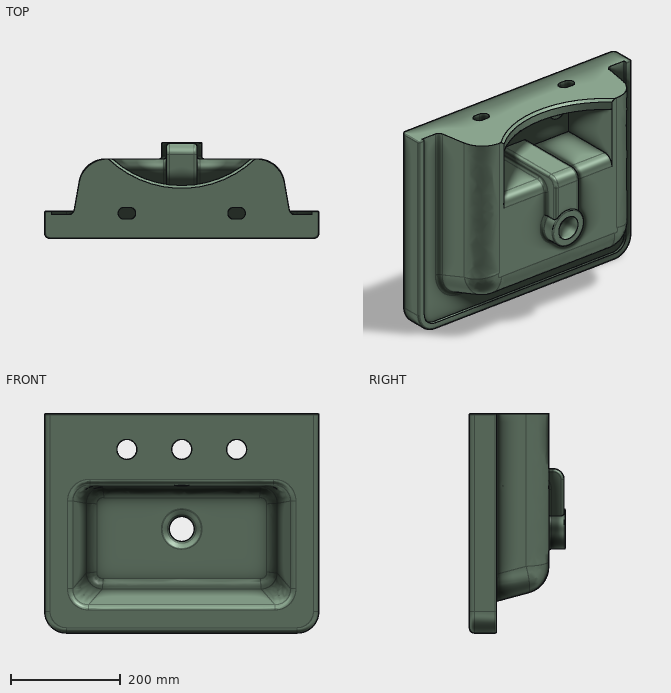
import cadquery as cq
import math


WIDTH = 500
HEIGHT = 400
SLAB_DEPTH = 50
SLAB_CORNER_R = 40
FRONT_EDGE_R = 10
BACK_EDGE_R = 3
TOP_EDGE_R = 2

RIM_WIDTH = 13
RECESS_DEPTH = 6
RECESS_FLOOR_Y = SLAB_DEPTH - RECESS_DEPTH
RECESS_CORNER_R = SLAB_CORNER_R - RIM_WIDTH

BOWL_BACK_Y = 145
BOWL_HALF_WIDTH = 197.5
BOWL_BOTTOM_Z = -343.5
BOWL_SIDE_DRAFT = 10
BOWL_BOTTOM_DRAFT = 15
BOWL_R = 50
BOWL_ROOT_R = 10

BASIN_DEPTH = 121
BASIN_HALF_WIDTH = 200.3
BASIN_TOP_Z = -129
BASIN_BOTTOM_Z = -350
BASIN_SIDE_DRAFT = 14
BASIN_TOP_DRAFT = 2.5
BASIN_BOTTOM_DRAFT = 16
BASIN_CORNER_R = 30
BASIN_FLOOR_R = 20
BASIN_LIP_R = 10

DECK_THICKNESS = 20
PLATE_THICKNESS = 20
ARCH_R = 189
ARCH_FRONT_Y = 96.5
ARCH_CENTER_Y = ARCH_FRONT_Y + ARCH_R
ARCH_CHAMFER = 5
HOLLOW_HALF_WIDTH = math.sqrt(ARCH_R**2 - (ARCH_CENTER_Y - BOWL_BACK_Y)**2)
SHOULDER_Z = -118
SHOULDER_R = 20

DRAIN_Z = -210
BOSS_R = 36.6
BOSS_BACK_Y = 175
BOSS_EDGE_R = 2
CHANNEL_HALF_WIDTH = 28
CHANNEL_TOP_Z = -100
CHANNEL_BACK_Y = 173
CHANNEL_TOP_R = 20
CHANNEL_EDGE_R = 6
BACK_ROOT_R = 5

DRAIN_MOUTH_R = 36.3
DRAIN_CONE_ANGLE = 26
DRAIN_BORE_R = 22.5
DRAIN_THROAT_R = 6
DRAIN_LIP_R = 3

FAUCET_HOLE_D = 36
FAUCET_SPACING = 100
FAUCET_Z = -65
SLOT_LENGTH = 32
SLOT_WIDTH = 21.5
SLOT_Y = 46
OVERFLOW_D = 26
OVERFLOW_Y = 42
OVERFLOW_DEPTH = 15

OVERLAP = 10
MARGIN = 1


def run(depth, draft):
    """Sideways travel of a drafted wall over a depth."""
    return depth * math.tan(math.radians(draft))


def box(x0, x1, y0, y1, z0, z1):
    return cq.Workplane("XY").box(x1 - x0, y1 - y0, z1 - z0, centered=False).translate((x0, y0, z0))


def cylinder_y(radius, y0, y1, x, z):
    """Cylinder along Y between y0 and y1."""
    return cq.Workplane("XZ", origin=(x, y0, z)).circle(radius).extrude(y0 - y1)


def edges_at_y(body, y, half_width, top, bottom):
    """Edges lying in the plane at y, within a rectangle centred on X = 0."""
    low = (-half_width - MARGIN, y - MARGIN, bottom - MARGIN)
    high = (half_width + MARGIN, y + MARGIN, top + MARGIN)
    return body.edges(cq.selectors.BoxSelector(low, high, boundingbox=True))


def tapered_block(y0, half_width0, top0, bottom0, y1, half_width1, top1, bottom1):
    """Block with flat drafted sides between a rectangle at y0 and one at y1."""

    def rectangle(y, half_width, top, bottom):
        corners = [
            (-half_width, y, bottom),
            (half_width, y, bottom),
            (half_width, y, top),
            (-half_width, y, top),
        ]
        return cq.Wire.makePolygon([cq.Vector(*corner) for corner in corners], close=True)

    front = rectangle(y0, half_width0, top0, bottom0)
    back = rectangle(y1, half_width1, top1, bottom1)
    return cq.Workplane(obj=cq.Solid.makeLoft([front, back], True))


def make_slab():
    slab = box(-WIDTH / 2, WIDTH / 2, 0, SLAB_DEPTH, -HEIGHT, 0)
    slab = slab.edges("|Y and <Z").fillet(SLAB_CORNER_R)
    slab = slab.faces("<Y").edges("not >Z").fillet(FRONT_EDGE_R)
    slab = slab.faces(">Y").edges("not >Z").fillet(BACK_EDGE_R)
    recess = box(RIM_WIDTH - WIDTH / 2, WIDTH / 2 - RIM_WIDTH, RECESS_FLOOR_Y, SLAB_DEPTH,
                 RIM_WIDTH - HEIGHT, 0)
    recess = recess.edges("|Y and <Z").fillet(RECESS_CORNER_R)
    slab = slab.cut(recess)
    return slab.faces(">Z").edges("<Y").fillet(TOP_EDGE_R)


def make_bowl():
    depth = BOWL_BACK_Y - RECESS_FLOOR_Y
    bowl = tapered_block(
        RECESS_FLOOR_Y, BOWL_HALF_WIDTH, 0, BOWL_BOTTOM_Z,
        BOWL_BACK_Y, BOWL_HALF_WIDTH - run(depth, BOWL_SIDE_DRAFT), 0,
        BOWL_BOTTOM_Z + run(depth, BOWL_BOTTOM_DRAFT),
    )
    bowl = bowl.faces("<Z").edges("not |X").fillet(BOWL_R)
    return bowl.faces(">Y").edges("not >Z").fillet(BOWL_R)


def make_basin():
    basin = tapered_block(
        0, BASIN_HALF_WIDTH, BASIN_TOP_Z, BASIN_BOTTOM_Z,
        BASIN_DEPTH, BASIN_HALF_WIDTH - run(BASIN_DEPTH, BASIN_SIDE_DRAFT),
        BASIN_TOP_Z - run(BASIN_DEPTH, BASIN_TOP_DRAFT),
        BASIN_BOTTOM_Z + run(BASIN_DEPTH, BASIN_BOTTOM_DRAFT),
    )
    basin = basin.edges("not (#Y)").fillet(BASIN_CORNER_R)
    return basin.faces(">Y").edges().fillet(BASIN_FLOOR_R)


def make_arch():
    """Upright cylinder with a flared rim that notches the top plate."""
    arch = cq.Workplane("XY").circle(ARCH_R).extrude(-PLATE_THICKNESS)
    rim = cq.Solid.makeCone(ARCH_R, ARCH_R + ARCH_CHAMFER, ARCH_CHAMFER, pnt=cq.Vector(0, 0, -ARCH_CHAMFER))
    return arch.union(cq.Workplane(obj=rim)).translate((0, ARCH_CENTER_Y, 0))


def make_hollow():
    """Space between the top plate and the rounded shoulder over the basin."""
    hollow = box(-HOLLOW_HALF_WIDTH, HOLLOW_HALF_WIDTH, DECK_THICKNESS, BOWL_BACK_Y,
                 SHOULDER_Z - SHOULDER_R, -PLATE_THICKNESS)
    shoulder = box(-WIDTH / 2, WIDTH / 2, 0, BOWL_BACK_Y, -HEIGHT, SHOULDER_Z)
    shoulder = shoulder.edges(">Y and >Z").fillet(SHOULDER_R)
    return hollow.cut(shoulder)


def make_channel():
    channel = box(-CHANNEL_HALF_WIDTH, CHANNEL_HALF_WIDTH, DECK_THICKNESS, CHANNEL_BACK_Y,
                  DRAIN_Z, CHANNEL_TOP_Z)
    channel = channel.edges(">Y and >Z").fillet(CHANNEL_TOP_R)
    return channel.faces(">Y").edges("|Z").fillet(CHANNEL_EDGE_R)


def make_boss():
    boss = cylinder_y(BOSS_R, BOWL_BACK_Y - OVERLAP, BOSS_BACK_Y, 0, DRAIN_Z)
    return boss.faces(">Y").edges().fillet(BOSS_EDGE_R)


def make_drain_cut():
    """Conical mouth running into a straight bore."""
    cone_end_y = BASIN_DEPTH + run(DRAIN_MOUTH_R - DRAIN_BORE_R, DRAIN_CONE_ANGLE)
    profile = (
        cq.Workplane("XY")
        .moveTo(0, BASIN_DEPTH)
        .lineTo(DRAIN_MOUTH_R, BASIN_DEPTH)
        .lineTo(DRAIN_BORE_R, cone_end_y)
        .lineTo(DRAIN_BORE_R, BOSS_BACK_Y)
        .lineTo(0, BOSS_BACK_Y)
        .close()
    )
    drain = profile.revolve(360, (0, 0, 0), (0, 1, 0))
    throat = edges_at_y(drain, cone_end_y, DRAIN_BORE_R, DRAIN_BORE_R, -DRAIN_BORE_R)
    return throat.fillet(DRAIN_THROAT_R).translate((0, 0, DRAIN_Z))


def add_bowl(body):
    body = body.union(make_bowl())
    root = edges_at_y(body, RECESS_FLOOR_Y, BOWL_HALF_WIDTH, 0, BOWL_BOTTOM_Z)
    return root.fillet(BOWL_ROOT_R)


def add_channel_and_boss(body):
    """Join both to the back of the bowl and round the whole root line."""
    body = body.union(make_channel().union(make_boss()))
    low = (-BOSS_R - MARGIN, DECK_THICKNESS + MARGIN, DRAIN_Z - BOSS_R - MARGIN)
    high = (BOSS_R + MARGIN, BOWL_BACK_Y + MARGIN, CHANNEL_TOP_Z - MARGIN)
    return body.edges(cq.selectors.BoxSelector(low, high)).fillet(BACK_ROOT_R)


def cut_basin(body):
    body = body.cut(make_basin())
    lip = edges_at_y(body, 0, BASIN_HALF_WIDTH, BASIN_TOP_Z, BASIN_BOTTOM_Z)
    return lip.fillet(BASIN_LIP_R)


def cut_drain(body):
    body = body.cut(make_drain_cut())
    mouth = edges_at_y(body, BASIN_DEPTH, DRAIN_MOUTH_R, DRAIN_Z + DRAIN_MOUTH_R, DRAIN_Z - DRAIN_MOUTH_R)
    return mouth.fillet(DRAIN_LIP_R)


def cut_faucet_holes(body):
    for column in (-1, 0, 1):
        x = column * FAUCET_SPACING
        body = body.cut(cylinder_y(FAUCET_HOLE_D / 2, 0, DECK_THICKNESS, x, FAUCET_Z))
    return body


def cut_mounting_slots(body):
    for side in (-1, 1):
        slot = cq.Workplane("XY", origin=(side * FAUCET_SPACING, SLOT_Y, 0))
        body = body.cut(slot.slot2D(SLOT_LENGTH, SLOT_WIDTH).extrude(-PLATE_THICKNESS))
    return body


def cut_overflow(body):
    """Blind hole up into the top wall of the basin."""
    start = cq.Workplane("XY", origin=(0, OVERFLOW_Y, BASIN_TOP_Z - OVERLAP))
    return body.cut(start.circle(OVERFLOW_D / 2).extrude(OVERLAP + OVERFLOW_DEPTH))


body = add_bowl(make_slab())
body = body.cut(make_arch()).cut(make_hollow())
body = add_channel_and_boss(body)
body = cut_basin(body)
body = cut_drain(body)
body = cut_faucet_holes(body)
body = cut_mounting_slots(body)
result = cut_overflow(body)